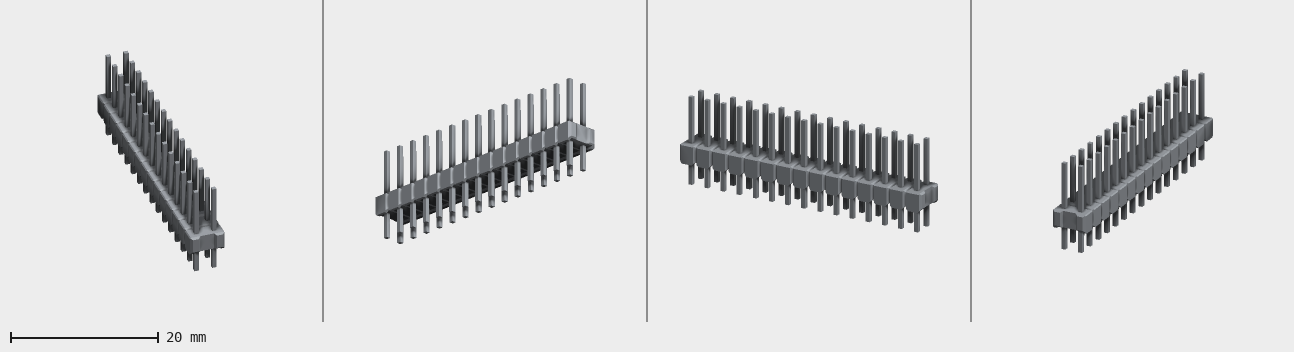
import cadquery as cq

CELL_COUNT = 15
PITCH = 2.54
ROW_SPACING = 2.54

PIN_SIZE = 0.6
PIN_LENGTH = 12.7
PIN_TAIL = 3.2

HOUSING_DEPTH = 5.0
HOUSING_HEIGHT = 2.8
FOOT_HEIGHT = 0.35
FOOT_DEPTH = 0.5

NOTCH_HALF_WIDTH = 0.28
NOTCH_TOP_DEPTH = 0.25
NECK_BOTTOM = 0.55
FOOT_END_INSET = 0.5
NOTCH_SIDE_DEPTH = 0.35
TOP_EDGE_BEVEL = 0.15

RECESS_FLOOR_WIDTH = 1.96
RECESS_SIDE_RUN = 0.33

HOUSING_LENGTH = CELL_COUNT * PITCH
CELL_FACE_HALF = PITCH / 2 - NOTCH_HALF_WIDTH
HALF_DEPTH = HOUSING_DEPTH / 2
CELL_CENTERS = [(i - (CELL_COUNT - 1) / 2) * PITCH for i in range(CELL_COUNT)]


def cell_block():
    """One cell, centred on x = 0: notched on top, bottom and both long sides."""
    neck = PITCH / 2
    neck_top = HOUSING_HEIGHT - NOTCH_TOP_DEPTH
    neck_side = HALF_DEPTH - NOTCH_SIDE_DEPTH
    foot_end = neck - FOOT_END_INSET

    elevation = (
        cq.Workplane("XZ")
        .polyline([
            (-CELL_FACE_HALF, HOUSING_HEIGHT),
            (CELL_FACE_HALF, HOUSING_HEIGHT),
            (neck, neck_top),
            (neck, NECK_BOTTOM),
            (foot_end, 0),
            (-foot_end, 0),
            (-neck, NECK_BOTTOM),
            (-neck, neck_top),
        ])
        .close()
        .extrude(HALF_DEPTH, both=True)
    )
    plan = (
        cq.Workplane("XY")
        .polyline([
            (-CELL_FACE_HALF, -HALF_DEPTH),
            (CELL_FACE_HALF, -HALF_DEPTH),
            (neck, -neck_side),
            (neck, neck_side),
            (CELL_FACE_HALF, HALF_DEPTH),
            (-CELL_FACE_HALF, HALF_DEPTH),
            (-neck, neck_side),
            (-neck, -neck_side),
        ])
        .close()
        .extrude(HOUSING_HEIGHT)
    )
    return elevation.intersect(plan)


def underside_cutter():
    """Channel along the whole underside that leaves a foot along each long edge."""
    return cq.Workplane("XY").box(
        HOUSING_LENGTH,
        HOUSING_DEPTH - 2 * FOOT_DEPTH,
        FOOT_HEIGHT,
        centered=(True, True, False),
    )


def top_edge_cutter(side):
    """Prism that bevels one long top edge of the housing."""
    return (
        cq.Workplane("YZ")
        .polyline([
            (side * HALF_DEPTH, HOUSING_HEIGHT),
            (side * (HALF_DEPTH - TOP_EDGE_BEVEL), HOUSING_HEIGHT),
            (side * HALF_DEPTH, HOUSING_HEIGHT - TOP_EDGE_BEVEL),
        ])
        .close()
        .extrude(HOUSING_LENGTH / 2, both=True)
    )


def end_recess_cutter(end):
    """Prism for the recess with sloping walls in one end face."""
    face_x = end * HOUSING_LENGTH / 2
    floor_x = face_x - end * NOTCH_HALF_WIDTH
    floor_half = RECESS_FLOOR_WIDTH / 2
    mouth_half = floor_half + RECESS_SIDE_RUN
    return (
        cq.Workplane("XY")
        .polyline([
            (face_x, -mouth_half),
            (face_x, mouth_half),
            (floor_x, floor_half),
            (floor_x, -floor_half),
        ])
        .close()
        .extrude(HOUSING_HEIGHT)
    )


def build_housing():
    cell = cell_block()
    housing = cell.translate((CELL_CENTERS[0], 0, 0))
    for x in CELL_CENTERS[1:]:
        housing = housing.union(cell.translate((x, 0, 0)))
    housing = housing.cut(underside_cutter())
    for sign in (-1, 1):
        housing = housing.cut(top_edge_cutter(sign))
        housing = housing.cut(end_recess_cutter(sign))
    return housing


def build_pins():
    positions = [(x, row * ROW_SPACING / 2) for x in CELL_CENTERS for row in (-1, 1)]
    return (
        cq.Workplane("XY", origin=(0, 0, -PIN_TAIL))
        .pushPoints(positions)
        .rect(PIN_SIZE, PIN_SIZE)
        .extrude(PIN_LENGTH)
    )


result = build_housing().union(build_pins())